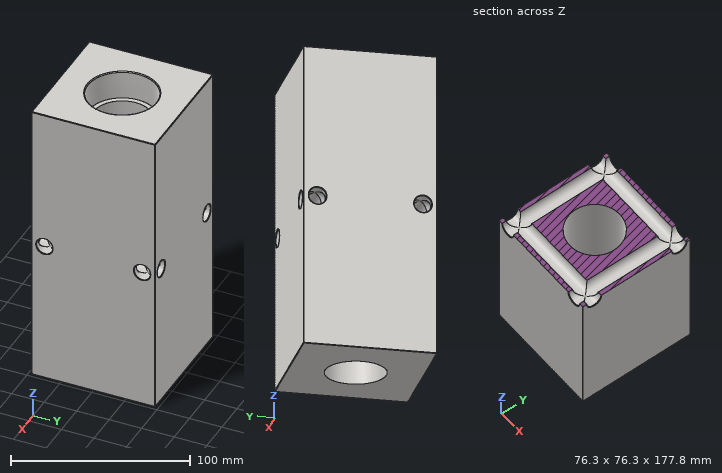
import cadquery as cq

height = 177.8
width = 76.3
edge_chamfer = 0.4

bore_diameter = 35.0
socket_mouth_diameter = 43.0
socket_floor_diameter = 40.9
socket_depth = 17.5
socket_mouth_chamfer = 0.5

cross_hole_diameter = 10.0
cross_hole_spacing = 60.1
cross_hole_chamfer = 0.4


def make_block():
    block = cq.Workplane("XY").box(width, width, height)
    return block.edges().chamfer(edge_chamfer)


def make_bore():
    """Through bore and conical socket with a chamfered mouth, revolved about the Z axis."""
    bore_radius = bore_diameter / 2
    mouth_radius = socket_mouth_diameter / 2
    top = height / 2
    socket_floor = top - socket_depth
    return (
        cq.Workplane("XZ")
        .moveTo(0, -top)
        .lineTo(bore_radius, -top)
        .lineTo(bore_radius, socket_floor)
        .lineTo(socket_floor_diameter / 2, socket_floor)
        .lineTo(mouth_radius - socket_mouth_chamfer, top - socket_mouth_chamfer)
        .lineTo(mouth_radius, top)
        .lineTo(0, top)
        .close()
        .revolve(360, (0, 0, 0), (0, 1, 0))
    )


def make_cross_hole(offset):
    """Through hole along Y, chamfered at both mouths, centred at X = offset."""
    hole_radius = cross_hole_diameter / 2
    mouth_radius = hole_radius + cross_hole_chamfer
    face = width / 2
    chamfer_end = face - cross_hole_chamfer
    return (
        cq.Workplane("XY")
        .moveTo(0, -face)
        .lineTo(mouth_radius, -face)
        .lineTo(hole_radius, -chamfer_end)
        .lineTo(hole_radius, chamfer_end)
        .lineTo(mouth_radius, face)
        .lineTo(0, face)
        .close()
        .revolve(360, (0, 0, 0), (0, 1, 0))
        .translate((offset, 0, 0))
    )


result = make_block().cut(make_bore())
for offset in (-cross_hole_spacing / 2, cross_hole_spacing / 2):
    hole_along_y = make_cross_hole(offset)
    hole_along_x = hole_along_y.rotate((0, 0, 0), (0, 0, 1), 90)
    result = result.cut(hole_along_y).cut(hole_along_x)